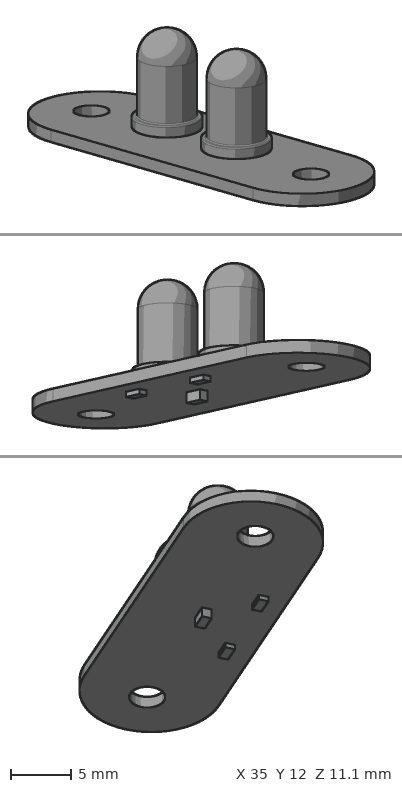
import cadquery as cq

BOARD_LENGTH = 35.0
BOARD_WIDTH = 12.0
BOARD_THICKNESS = 1.1
MOUNT_HOLE_DIAMETER = 3.0
MOUNT_HOLE_X = 12.5

LENS_DIAMETER = 5.0
LENS_RADIUS = LENS_DIAMETER / 2
LENS_STRAIGHT_HEIGHT = 5.1
FLANGE_DIAMETER = 5.9
FLANGE_HEIGHT = 1.0
FLANGE_FILLET_RADIUS = 0.1
LEAD_SIDE = 0.5
LEAD_PITCH = 2.54

LED_PLACES = [
    (-3.9, 0.0, 0.49),
    (4.1, -0.1, 0.40),
]

CHIP_LENGTH = 1.6
CHIP_WIDTH = 0.85
RESISTOR_HEIGHT = 0.45
RESISTOR_PLACES = [(-3.6, 3.65), (3.9, 3.75)]
CAPACITOR_HEIGHT = 0.9
CAPACITOR_PLACE = (0.5, 0.0)


def make_board():
    """Rounded-end plate with its underside at Z = 0."""
    plate = cq.Workplane("XY").slot2D(BOARD_LENGTH, BOARD_WIDTH).extrude(BOARD_THICKNESS)
    hole_centres = [(-MOUNT_HOLE_X, 0), (MOUNT_HOLE_X, 0)]
    return plate.faces(">Z").workplane().pushPoints(hole_centres).hole(MOUNT_HOLE_DIAMETER)


def make_led(x, y, standoff):
    """Flange, lens and leads, with the leads ending on the top of the board."""
    flange = cq.Workplane("XY").circle(FLANGE_DIAMETER / 2).extrude(FLANGE_HEIGHT)
    dome_base = FLANGE_HEIGHT + LENS_STRAIGHT_HEIGHT
    lens = (
        cq.Workplane("XZ")
        .lineTo(LENS_RADIUS, 0)
        .lineTo(LENS_RADIUS, dome_base)
        .radiusArc((0, dome_base + LENS_RADIUS), -LENS_RADIUS)
        .close()
        .revolve(360, (0, 0), (0, 1))
    )
    leads = (
        cq.Workplane("XY")
        .pushPoints([(0, -LEAD_PITCH / 2), (0, LEAD_PITCH / 2)])
        .rect(LEAD_SIDE, LEAD_SIDE)
        .extrude(-standoff)
    )
    led = flange.union(lens).union(leads)
    flange_faces = led.faces("|Z").faces(">Z or >Z[-2]")
    led = flange_faces.edges().fillet(FLANGE_FILLET_RADIUS)
    return led.translate((x, y, BOARD_THICKNESS + standoff))


def make_chip(x, y, height):
    """Rectangular chip hanging from the underside of the board."""
    return cq.Workplane("XY").center(x, y).rect(CHIP_LENGTH, CHIP_WIDTH).extrude(-height)


board = make_board()
leds = [make_led(*place) for place in LED_PLACES]
resistors = [make_chip(x, y, RESISTOR_HEIGHT) for x, y in RESISTOR_PLACES]
capacitor = make_chip(*CAPACITOR_PLACE, CAPACITOR_HEIGHT)

result = cq.Compound.makeCompound([
    board.val(),
    *[led.val() for led in leds],
    *[resistor.val() for resistor in resistors],
    capacitor.val(),
])